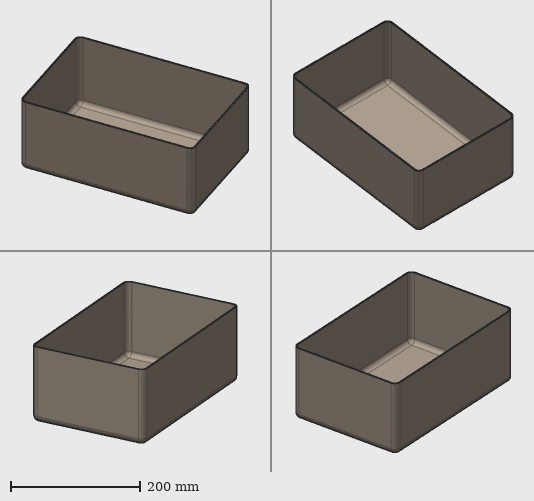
import cadquery as cq

length = 300.0
width = 200.0
height = 127.0
wall = 2.0
outer_radius = 10.2
inner_radius = outer_radius - wall


def rounded_block(size_x, size_y, size_z, radius):
    """Block standing on Z = 0 with rounded upright and bottom edges."""
    block = cq.Workplane("XY").box(size_x, size_y, size_z, centered=(True, True, False))
    return block.edges("|Z or <Z").fillet(radius)


outer_body = rounded_block(length, width, height, outer_radius)

cavity = rounded_block(
    length - 2 * wall, width - 2 * wall, height - wall, inner_radius
).translate((0, 0, wall))

result = outer_body.cut(cavity)